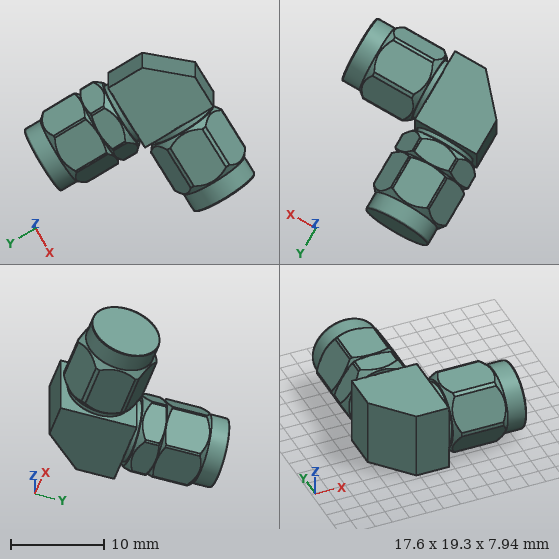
import cadquery as cq
import math


BLOCK_HEIGHT = 7.94
BLOCK_WIDTH_X = 7.65
BLOCK_WIDTH_Y = 8.61

HEX_SIDES = 6
ACROSS_FLATS = BLOCK_HEIGHT
SLEEVE_RADIUS = 3.83
END_BEVEL_LENGTH = 0.77
SLEEVE_EDGE_RADIAL = 0.04

X_CORNER_RADIUS = 4.45
X_NECK_RADIUS = 3.55
X_NUT_START = 4.5
X_NUT_END = 10.95
X_SLEEVE_END = 13.12
X_SLEEVE_EDGE = 0.1

Y_CORNER_RADIUS = 4.5
Y_NECK_RADIUS = 2.02
Y_COLLAR_RADIUS = 3.45
Y_COLLAR_START = 4.43
Y_LOCKNUT_START = 5.0
Y_NUT_START = 7.75
Y_NUT_END = 12.8
Y_SLEEVE_END = 14.82
Y_SLEEVE_EDGE = 0.15
JOINT_RADIUS = 3.91
JOINT_BEVEL_LENGTH = 0.37


def turned(profile):
    """Revolve a (radius, height) outline around the local Z axis."""
    return cq.Workplane("XZ").polyline(profile).close().revolve(360, (0, 0, 0), (0, 1, 0))


def cylinder(radius, start, end):
    """Round section on the local Z axis."""
    return cq.Workplane("XY").workplane(offset=start).circle(radius).extrude(end - start)


def sleeve(start, end, edge_length):
    """Plain sleeve with a slight bevel around its outer end."""
    profile = [
        (0, start),
        (SLEEVE_RADIUS, start),
        (SLEEVE_RADIUS, end - edge_length),
        (SLEEVE_RADIUS - SLEEVE_EDGE_RADIAL, end),
        (0, end),
    ]
    return turned(profile)


def hex_nut(start, end, corner_radius, start_face, start_bevel, end_face, end_bevel):
    """Hexagon with turned corners; each end bevels down to a round face."""
    across_corners = ACROSS_FLATS / math.cos(math.pi / HEX_SIDES)
    hexagon = (
        cq.Workplane("XY").workplane(offset=start)
        .polygon(HEX_SIDES, across_corners).extrude(end - start)
    )
    profile = [
        (0, start),
        (start_face, start),
        (corner_radius, start + start_bevel),
        (corner_radius, end - end_bevel),
        (end_face, end),
        (0, end),
    ]
    return hexagon.intersect(turned(profile))


def block():
    """Rectangular block with one vertical corner cut off from axis to axis."""
    half_x = BLOCK_WIDTH_X / 2
    half_y = BLOCK_WIDTH_Y / 2
    outline = [
        (-half_x, half_y),
        (half_x, half_y),
        (half_x, -half_y),
        (0, -half_y),
        (-half_x, 0),
    ]
    return cq.Workplane("XY").polyline(outline).close().extrude(BLOCK_HEIGHT / 2, both=True)


def x_connector():
    """Neck, nut and sleeve, laid along +X with two nut flats level."""
    neck = cylinder(X_NECK_RADIUS, 0, X_NUT_START)
    nut = hex_nut(
        X_NUT_START, X_NUT_END, X_CORNER_RADIUS,
        SLEEVE_RADIUS, END_BEVEL_LENGTH, SLEEVE_RADIUS, END_BEVEL_LENGTH,
    )
    end_sleeve = sleeve(X_NUT_END, X_SLEEVE_END, X_SLEEVE_EDGE)
    along_x = cq.Plane(origin=(0, 0, 0), xDir=(0, 1, 0), normal=(1, 0, 0))
    return neck.union(nut).union(end_sleeve).val().moved(cq.Location(along_x))


def y_connector():
    """Neck, collar, lock nut, main nut and sleeve, laid along +Y with two nut flats level."""
    neck = cylinder(Y_NECK_RADIUS, 0, Y_COLLAR_START)
    collar = cylinder(Y_COLLAR_RADIUS, Y_COLLAR_START, Y_LOCKNUT_START)
    lock_nut = hex_nut(
        Y_LOCKNUT_START, Y_NUT_START, Y_CORNER_RADIUS,
        SLEEVE_RADIUS, END_BEVEL_LENGTH, JOINT_RADIUS, JOINT_BEVEL_LENGTH,
    )
    main_nut = hex_nut(
        Y_NUT_START, Y_NUT_END, Y_CORNER_RADIUS,
        JOINT_RADIUS, JOINT_BEVEL_LENGTH, SLEEVE_RADIUS, END_BEVEL_LENGTH,
    )
    end_sleeve = sleeve(Y_NUT_END, Y_SLEEVE_END, Y_SLEEVE_EDGE)
    connector = neck.union(collar).union(lock_nut).union(main_nut).union(end_sleeve)
    along_y = cq.Plane(origin=(0, 0, 0), xDir=(1, 0, 0), normal=(0, 1, 0))
    return connector.val().moved(cq.Location(along_y))


result = block().union(cq.Workplane(x_connector())).union(cq.Workplane(y_connector()))